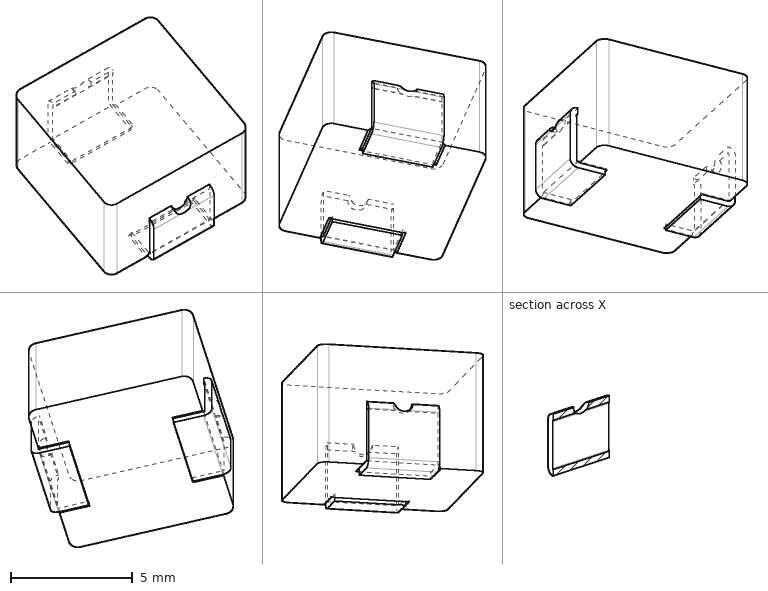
import cadquery as cq

overall_length = 7.7
overall_height = 5.15

body_side = 7.0
body_corner_radius = 0.385

strip_thickness = 0.3
terminal_width = 3.0
terminal_height = 2.8
foot_length = 1.285
root_depth = 0.155
notch_radius = 0.4

standoff = strip_thickness / 2
body_height = overall_height - standoff
body_face = body_side / 2
terminal_face = overall_length / 2
side_gap = terminal_face - body_face - strip_thickness
outer_bend_radius = strip_thickness + side_gap
inner_bend_radius = side_gap
foot_end = body_face - foot_length


def make_body():
    return (
        cq.Workplane("XY")
        .workplane(offset=standoff)
        .rect(body_side, body_side)
        .extrude(body_height)
        .edges("|Z")
        .fillet(body_corner_radius)
    )


def make_foot_pocket():
    """Recess under the +X edge of the body, with 45 degree side walls that meet the foot at its top."""
    half_top = terminal_width / 2
    half_bottom = half_top + standoff
    return (
        cq.Workplane("YZ")
        .workplane(offset=foot_end)
        .moveTo(-half_bottom, standoff)
        .lineTo(half_bottom, standoff)
        .lineTo(half_top, strip_thickness)
        .lineTo(-half_top, strip_thickness)
        .close()
        .extrude(foot_length)
    )


def make_terminal():
    """C-shaped strip on the +X side: foot, outer wall and upper leg, notched at the top."""
    inner_face = terminal_face - strip_thickness
    root_end = body_face - root_depth
    strip = (
        cq.Workplane("XZ")
        .moveTo(foot_end, 0)
        .lineTo(body_face, 0)
        .radiusArc((terminal_face, outer_bend_radius), -outer_bend_radius)
        .lineTo(terminal_face, terminal_height - outer_bend_radius)
        .radiusArc((body_face, terminal_height), -outer_bend_radius)
        .lineTo(root_end, terminal_height)
        .lineTo(root_end, terminal_height - strip_thickness)
        .lineTo(body_face, terminal_height - strip_thickness)
        .radiusArc((inner_face, terminal_height - outer_bend_radius), inner_bend_radius)
        .lineTo(inner_face, outer_bend_radius)
        .radiusArc((body_face, strip_thickness), inner_bend_radius)
        .lineTo(foot_end, strip_thickness)
        .close()
        .extrude(terminal_width / 2, both=True)
    )
    notch = (
        cq.Workplane("YZ")
        .workplane(offset=body_face)
        .center(0, terminal_height)
        .circle(notch_radius)
        .extrude(outer_bend_radius)
    )
    return strip.cut(notch)


result = make_body()
for turn in (0, 180):
    pocket = make_foot_pocket().rotate((0, 0, 0), (0, 0, 1), turn)
    terminal = make_terminal().rotate((0, 0, 0), (0, 0, 1), turn)
    result = result.cut(pocket).union(terminal)